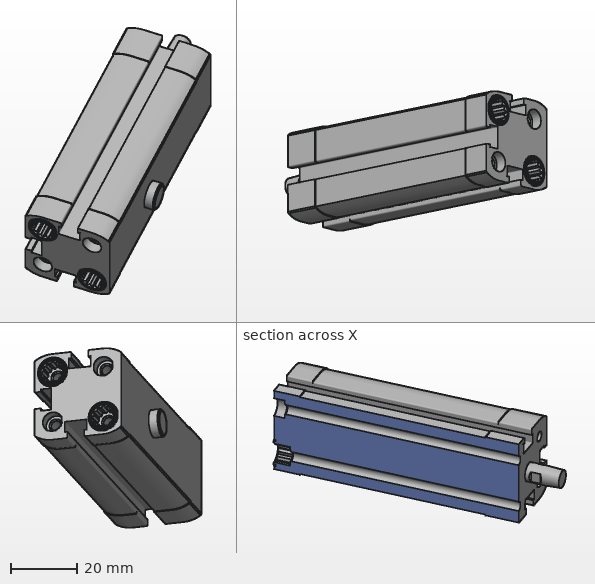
import cadquery as cq
import math


cap_half_width = 13.7
cap_half_height = 13.77
housing_length = 80.3
front_cap_length = 11.0
rear_cap_length = 8.5
barrel_inset = 0.3
corner_radius = 10.0
corner_chamfer_x = 0.4
corner_chamfer_z = 0.5

hole_pitch = 16.0
through_diameter = 3.2
through_lead_in_diameter = 4.1
clearance_diameter = 6.0
clearance_depth = 3.5
recess_diameter = 9.2
recess_depth = 0.55
head_diameter = 8.5
head_chamfer = 0.3
head_protrusion = 0.2
socket_points = 12
socket_point_radius = 3.6
socket_valley_radius = 2.9
socket_lead_in_radius = 3.7
socket_depth = 5.5

slot_depth = 5.3
slot_lip = 2.0
slot_mouth_width = 5.3
slot_mouth_round = 0.5
slot_inner_width = 6.9
slot_floor_round = 0.3
slot_offset = 0.6

rod_diameter = 6.0
rod_tip_diameter = 5.6
rod_extension = 11.0
rod_tip_length = 4.8
rod_depth = front_cap_length
flats_width = 5.0
flats_length = 3.0
flats_from_housing = 1.8

plug_diameter = 8.5
plug_chamfer = 0.3
plug_collar_length = 3.0
plug_boss_diameter = 7.3
plug_boss_length = 0.3
plug_depth = 1.8
plug_y = 31.7

hole_offset = hole_pitch / 2
barrel_length = housing_length - front_cap_length - rear_cap_length


def across_y(y):
    """Plane at position y whose local axes are X and Z; a negative extrusion runs toward +Y."""
    return cq.Workplane("XZ", origin=(0, y, 0))


def disc(x, z, y, length, diameter):
    """Cylinder along +Y that starts at y."""
    return across_y(y).center(x, z).circle(diameter / 2).extrude(-length)


def cone(x, z, y, length, start_diameter, end_diameter):
    """Frustum along +Y that starts at y."""
    start = cq.Vector(x, y, z)
    forward = cq.Vector(0, 1, 0)
    return cq.Workplane(cq.Solid.makeCone(start_diameter / 2, end_diameter / 2, length, start, forward))


def arc_height(x, half_height):
    """Z of the corner arc at x; the arc is tangent to the flat top at the hole offset."""
    radius = corner_radius - (cap_half_height - half_height)
    return half_height - radius + math.sqrt(radius**2 - (abs(x) - hole_offset) ** 2)


def body_section(y, length, left_half_width, half_height, left_chamfered):
    """Prism with arched corners; a short slope ends the right arc, and the left one if chamfered."""
    left_arc_end = -left_half_width
    if left_chamfered:
        left_arc_end += corner_chamfer_x
    right_arc_end = cap_half_width - corner_chamfer_x
    left_arc_z = arc_height(left_arc_end, half_height)
    right_arc_z = arc_height(right_arc_end, half_height)
    left_middle_x = (left_arc_end - hole_offset) / 2
    right_middle_x = (right_arc_end + hole_offset) / 2
    left_middle = (left_middle_x, arc_height(left_middle_x, half_height))
    right_middle = (right_middle_x, arc_height(right_middle_x, half_height))

    upper = across_y(y).moveTo(-hole_offset, half_height).lineTo(hole_offset, half_height)
    upper = upper.threePointArc(right_middle, (right_arc_end, right_arc_z))
    upper = upper.lineTo(cap_half_width, right_arc_z - corner_chamfer_z)
    upper = upper.lineTo(cap_half_width, 0).lineTo(-left_half_width, 0)
    if left_chamfered:
        upper = upper.lineTo(-left_half_width, left_arc_z - corner_chamfer_z)
    upper = upper.lineTo(left_arc_end, left_arc_z)
    upper = upper.threePointArc(left_middle, (-hole_offset, half_height))
    upper = upper.close().extrude(-length)
    return upper.union(upper.mirror("XY"))


def slot_block(offset, width, bottom_z, top_z):
    """Full-length rectangular bar between two heights."""
    middle_z = (bottom_z + top_z) / 2
    return across_y(0).center(offset, middle_z).rect(width, top_z - bottom_z).extrude(-housing_length)


def t_slot(angle, offset, face):
    """T-slot cutter with rounded floor corners; face is the outer face distance, angle turns it about Y."""
    floor_z = face - slot_depth
    lip_z = face - slot_lip
    inner = slot_block(offset, slot_inner_width, floor_z, lip_z)
    inner = inner.faces("<Z").edges("|Y").fillet(slot_floor_round)
    mouth = slot_block(offset, slot_mouth_width, lip_z, face)
    return mouth.union(inner).rotate((0, 0, 0), (0, 1, 0), angle)


def slot_mouth_flare(angle, offset, face, y, length):
    """Cutter that rounds over the two outer edges of a slot mouth along one stretch of the housing."""
    wide = slot_mouth_width / 2 + slot_mouth_round
    narrow = slot_mouth_width / 2
    lower_z = face - slot_mouth_round
    bend = slot_mouth_round * (1 - math.sqrt(0.5))
    flare = across_y(y).center(offset, 0).moveTo(-wide, face)
    flare = flare.threePointArc((-narrow - bend, face - bend), (-narrow, lower_z)).lineTo(narrow, lower_z)
    flare = flare.threePointArc((narrow + bend, face - bend), (wide, face)).close()
    return flare.extrude(-length).rotate((0, 0, 0), (0, 1, 0), angle)


def star_points():
    """Alternating points and valleys of the screw socket."""
    step = math.pi / socket_points
    points = []
    for i in range(2 * socket_points):
        radius = socket_valley_radius if i % 2 else socket_point_radius
        points.append((radius * math.cos(i * step), radius * math.sin(i * step)))
    return points


def through_hole(x, z, floor_y):
    """Hole from the recess floor to the front, with a conical lead-in."""
    lead_in = (through_lead_in_diameter - through_diameter) / 2
    hole = disc(x, z, floor_y, housing_length - floor_y, through_diameter)
    return hole.union(cone(x, z, floor_y, lead_in, through_lead_in_diameter, through_diameter))


def add_screw_head(body, x, z):
    """Chamfered collar-screw head, slightly proud of the rear face, with its splined socket."""
    recess = disc(x, z, 0, recess_depth, recess_diameter)
    head = disc(x, z, -head_protrusion, head_protrusion + recess_depth, head_diameter)
    head = head.faces("<Y").edges().chamfer(head_chamfer)
    lead_in_depth = socket_lead_in_radius - socket_valley_radius
    lead_in = cone(
        x, z, -head_protrusion, lead_in_depth, 2 * socket_lead_in_radius, 2 * socket_valley_radius
    )
    socket = across_y(-head_protrusion).center(x, z).polyline(star_points()).close().extrude(-socket_depth)
    body = body.cut(recess).union(head).cut(lead_in).cut(socket)
    return body.cut(through_hole(x, z, socket_depth - head_protrusion))


def add_clearance_hole(body, x, z):
    """Wide bore from the rear face that narrows to the through hole."""
    body = body.cut(disc(x, z, 0, clearance_depth, clearance_diameter))
    return body.cut(through_hole(x, z, clearance_depth))


def make_housing(rod, plug):
    """Caps and barrel with slots, corner holes and screw heads, and seats for the rod and the plug."""
    barrel_half_width = cap_half_width - barrel_inset
    barrel_half_height = cap_half_height - barrel_inset
    front_cap_y = housing_length - front_cap_length
    rear_cap = body_section(0, rear_cap_length, cap_half_width, cap_half_height, True)
    barrel = body_section(rear_cap_length, barrel_length, barrel_half_width, barrel_half_height, False)
    front_cap = body_section(front_cap_y, front_cap_length, cap_half_width, cap_half_height, True)
    body = rear_cap.union(barrel).union(front_cap)

    top, bottom, left = 0, 180, -90
    slots = (
        (top, slot_offset, cap_half_height),
        (bottom, slot_offset, cap_half_height),
        (left, -slot_offset, cap_half_width),
    )
    stretches = (
        (0, rear_cap_length, 0),
        (rear_cap_length, barrel_length, barrel_inset),
        (front_cap_y, front_cap_length, 0),
    )
    for angle, offset, face in slots:
        body = body.cut(t_slot(angle, offset, face))
        for y, length, inset in stretches:
            body = body.cut(slot_mouth_flare(angle, offset, face - inset, y, length))

    for side in (-1, 1):
        body = add_screw_head(body, side * hole_offset, -side * hole_offset)
        body = add_clearance_hole(body, side * hole_offset, side * hole_offset)
    return body.cut(rod).cut(plug)


def make_rod():
    """Rod seated in the front cap, with a slightly tapered tip and two flats that end in 45 degree ramps."""
    start_y = housing_length - rod_depth
    tip_y = housing_length + rod_extension - rod_tip_length
    rod = disc(0, 0, start_y, tip_y - start_y, rod_diameter)
    rod = rod.union(cone(0, 0, tip_y, rod_tip_length, rod_diameter, rod_tip_diameter))
    rod_radius = rod_diameter / 2
    ramp = rod_radius - flats_width / 2
    flats_start = housing_length + flats_from_housing
    flats_end = flats_start + flats_length
    notch = cq.Workplane("XY", origin=(0, 0, -rod_radius)).polyline([
        (rod_radius - ramp, flats_start),
        (rod_radius, flats_start - ramp),
        (rod_radius, flats_end + ramp),
        (rod_radius - ramp, flats_end),
    ]).close().extrude(rod_diameter)
    return rod.cut(notch).cut(notch.mirror("YZ"))


def make_plug():
    """Round plug in the +X side, with a chamfered collar and a low end boss."""
    seat = cq.Workplane("YZ", origin=(cap_half_width - plug_depth, plug_y, 0))
    collar = seat.circle(plug_diameter / 2).extrude(plug_depth + plug_collar_length)
    collar = collar.faces(">X").edges().chamfer(plug_chamfer)
    return collar.faces(">X").workplane().circle(plug_boss_diameter / 2).extrude(plug_boss_length)


rod = make_rod()
plug = make_plug()
housing = make_housing(rod, plug)

result = cq.Compound.makeCompound([housing.solids().val(), rod.solids().val(), plug.solids().val()])